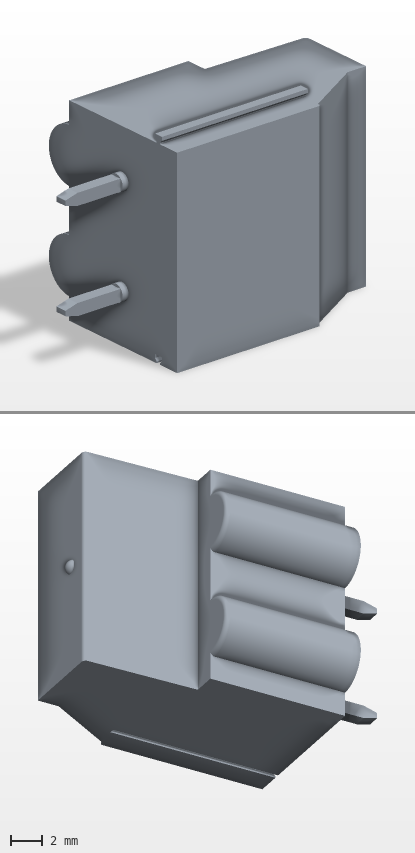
import cadquery as cq
import math


overall_depth = 23.3

pole_count = 2
pole_pitch = 7.62
housing_width = 10.76
housing_depth = 17.96
housing_height = pole_count * pole_pitch
step_depth = 9.79
step_width = 1.63
tower_left = 1.82
tower_right = 7.78
slope_depth = 16.45
slope_angle = 30
ledge_width = 0.3
ledge_round = 0.2
tower_round = 0.3

lobe_radius = 2.12
lobe_reach = 2.03
lobe_round = 0.3

rail_x = 8.9
rail_length = 11.98
rail_height = 0.58
rail_width = 0.7
rail_neck_width = 0.35
rail_neck_height = 0.12
rail_cap_height = 0.28

pin_x = 5.27
collar_radius = 0.65
collar_length = 0.5
pin_size = 0.9
pin_length = 5.0
tip_length = 0.98
tip_height = 0.37

bump_x = 3.55
bump_radius = 0.5
bump_height = overall_depth - housing_depth - pin_length

pole_heights = [(i + 0.5) * pole_pitch for i in range(pole_count)]


def along_y(x, z, y=0):
    """Workplane at (x, y, z) that extrudes toward +Y, local axes along +X and -Z."""
    return cq.Workplane("XZ", origin=(x, y, z)).transformed(rotate=(180, 0, 0))


def make_housing():
    ledge_x = housing_width - ledge_width
    ledge_depth = slope_depth - (ledge_x - tower_right) / math.tan(math.radians(slope_angle))
    outline = [
        (0, 0),
        (housing_width, 0),
        (housing_width, ledge_depth),
        (ledge_x, ledge_depth),
        (tower_right, slope_depth),
        (tower_right, housing_depth),
        (tower_left, housing_depth),
        (step_width, step_depth),
        (0, step_depth),
    ]
    body = cq.Workplane("XY").polyline(outline).close().extrude(housing_height)
    middle = housing_height / 2
    tower_corner = cq.selectors.NearestToPointSelector((tower_left, housing_depth, middle))
    ledge_corner = cq.selectors.NearestToPointSelector((housing_width, ledge_depth, middle))
    body = body.edges(tower_corner).fillet(tower_round)
    return body.edges(ledge_corner).fillet(ledge_round)


def make_lobe(z):
    cylinder = along_y(lobe_radius - lobe_reach, z).circle(lobe_radius).extrude(step_depth)
    cylinder = cylinder.faces(">Y").edges().fillet(lobe_round)
    keep = cq.Workplane("XY").box(
        lobe_reach, step_depth, 2 * lobe_radius, centered=(False, False, True)
    )
    return cylinder.intersect(keep.translate((-lobe_reach, 0, z)))


def make_rail(z):
    """Dovetail bar standing on height z: narrow neck, flared sides, straight cap."""
    half_neck = rail_neck_width / 2
    half_cap = rail_width / 2
    cap_start = rail_height - rail_cap_height
    right_side = [
        (half_neck, 0),
        (half_neck, rail_neck_height),
        (half_cap, cap_start),
        (half_cap, rail_height),
    ]
    left_side = [(-x, height) for x, height in reversed(right_side)]
    section = cq.Workplane("XZ", origin=(rail_x, 0, z)).polyline(right_side + left_side)
    return section.close().extrude(-rail_length)


def make_pin(z):
    """Round collar and a square pin whose tip tapers in Z only."""
    collar = along_y(pin_x, z).circle(collar_radius).extrude(-collar_length)
    taper_start = tip_length - pin_length
    half_size = pin_size / 2
    half_tip = tip_height / 2
    side = [
        (0, half_size),
        (taper_start, half_size),
        (-pin_length, half_tip),
        (-pin_length, -half_tip),
        (taper_start, -half_size),
        (0, -half_size),
    ]
    blade = cq.Workplane("YZ", origin=(pin_x, 0, z)).polyline(side).close()
    return collar.union(blade.extrude(half_size, both=True))


def make_bump():
    """Spherical cap rising from the tower top."""
    sphere_radius = (bump_radius**2 + bump_height**2) / (2 * bump_height)
    center = (bump_x, housing_depth + bump_height - sphere_radius, housing_height / 2)
    sphere = cq.Workplane("XY").sphere(sphere_radius).translate(center)
    cap_zone = along_y(bump_x, housing_height / 2, housing_depth).circle(2 * bump_radius)
    return sphere.intersect(cap_zone.extrude(2 * bump_height))


result = make_housing().union(make_rail(housing_height)).cut(make_rail(0)).union(make_bump())
for pole_z in pole_heights:
    result = result.union(make_lobe(pole_z)).union(make_pin(pole_z))